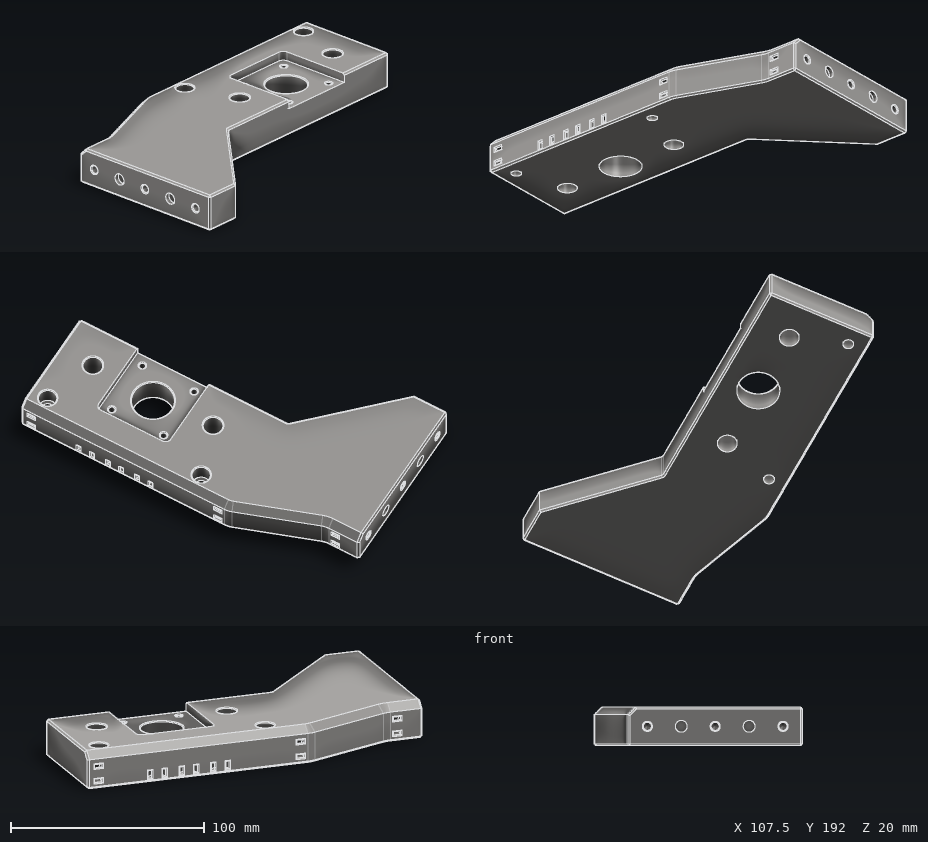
import cadquery as cq
import math

LENGTH = 192.0
WIDTH = 107.5
THICKNESS = 20.0

ARM_WIDTH = 60.0
FOOT_WIDTH = 90.0
FOOT_LEFT = WIDTH - FOOT_WIDTH
FOOT_HEIGHT = 20.0
LEFT_SLOPE_ANGLE = 20.0
LEFT_BEND_Y = FOOT_HEIGHT + FOOT_LEFT / math.tan(math.radians(LEFT_SLOPE_ANGLE))
RIGHT_BEND_Y = FOOT_HEIGHT + (WIDTH - ARM_WIDTH)
LEFT_BEND_RADIUS = 12.0
RIGHT_BEND_RADIUS = 2.0

LEFT_CHAMFER = 4.0
EDGE_CHAMFER = 1.0
HOLE_CHAMFER = 0.5

MOTOR_X = 39.0
MOTOR_Y = LENGTH - 56.0
SEAT_SIDE = 43.0
SEAT_DEPTH = 5.0
SEAT_CORNER_RADIUS = 3.0
PILOT_DIAMETER = 22.2
MOTOR_SCREW_PITCH = 31.0
MOTOR_SCREW_DIAMETER = 3.4
MOTOR_SCREW_DEPTH = 8.0

GUIDE_DIAMETER = 10.2
GUIDE_OFFSET = 36.0

MOUNT_X = 10.0
MOUNT_END_OFFSET = 10.0
MOUNT_PITCH = 92.0
MOUNT_DIAMETER = 5.5
MOUNT_BORE_DIAMETER = 9.5
MOUNT_BORE_DEPTH = 10.0

FRONT_HOLE_PITCH = 17.5
FRONT_ROW_X = FOOT_LEFT + FOOT_WIDTH / 2
FRONT_ROW_Z = THICKNESS / 2
TAPPED_DIAMETER = 4.2
TAPPED_DEPTH = 15.0
DOWEL_DIAMETER = 6.1
DOWEL_DEPTH = 2.5

TIE_LOOP_DIAMETER = 8.0
TIE_WIDTH = 4.0
TIE_THICKNESS = 1.8
TIE_SLOT_CHAMFER = 0.6
TIE_END_MARGIN = 6.0
UPRIGHT_TIE_Z = (THICKNESS - LEFT_CHAMFER) / 2
FLAT_TIE_Z = 4.0
FLAT_TIE_PITCH = 17.5

DRILL_POINT_ANGLE = 118.0

DOWN = cq.Vector(0, 0, -1)
INWARD = cq.Vector(0, 1, 0)


def make_plate():
    """Plate outline with rounded bends and all outer edges chamfered."""
    outline = [
        (FOOT_LEFT, 0),
        (WIDTH, 0),
        (WIDTH, FOOT_HEIGHT),
        (ARM_WIDTH, RIGHT_BEND_Y),
        (ARM_WIDTH, LENGTH),
        (0, LENGTH),
        (0, LEFT_BEND_Y),
        (FOOT_LEFT, FOOT_HEIGHT),
    ]
    plate = cq.Workplane("XY").polyline(outline).close().extrude(THICKNESS)

    rounded_bends = [
        (0, LEFT_BEND_Y, LEFT_BEND_RADIUS),
        (FOOT_LEFT, FOOT_HEIGHT, LEFT_BEND_RADIUS),
        (ARM_WIDTH, RIGHT_BEND_Y, RIGHT_BEND_RADIUS),
    ]
    for x, y, radius in rounded_bends:
        bend = cq.selectors.NearestToPointSelector((x, y, THICKNESS / 2))
        plate = plate.edges("|Z").edges(bend).fillet(radius)

    left_edge = cq.selectors.NearestToPointSelector((0, LENGTH - ARM_WIDTH, THICKNESS))
    plate = plate.edges(left_edge).chamfer(LEFT_CHAMFER)

    edges = plate.faces("<Y or >Y or <Z").edges()
    right_edge = cq.selectors.NearestToPointSelector((ARM_WIDTH, LENGTH - ARM_WIDTH, THICKNESS))
    foot_edge = cq.selectors.NearestToPointSelector((WIDTH, FOOT_HEIGHT / 2, THICKNESS))
    edges = edges.add(plate.edges(right_edge)).add(plate.edges(foot_edge))
    return edges.chamfer(EDGE_CHAMFER)


def drill(start, direction, diameter, depth):
    """Blind hole with a conical drill point; depth is to the shoulder."""
    radius = diameter / 2
    tip = radius / math.tan(math.radians(DRILL_POINT_ANGLE / 2))
    bore = cq.Solid.makeCylinder(radius, depth, start, direction)
    point = cq.Solid.makeCone(radius, 0, tip, start + direction * depth, direction)
    return bore.fuse(point)


def countersink(start, direction, diameter, size):
    """45 degree edge break at a hole mouth."""
    radius = diameter / 2
    return cq.Solid.makeCone(radius + size, radius, size, start, direction)


def cut_motor_seat(body):
    """Pocket open to the right side, with a through pilot bore and four screw holes."""
    seat_left = MOTOR_X - SEAT_SIDE / 2
    seat_floor = THICKNESS - SEAT_DEPTH
    seat_length = ARM_WIDTH - seat_left + SEAT_CORNER_RADIUS
    seat = (
        cq.Workplane("XY", origin=(seat_left + seat_length / 2, MOTOR_Y, seat_floor))
        .rect(seat_length, SEAT_SIDE)
        .extrude(SEAT_DEPTH)
        .edges("|Z and <X")
        .fillet(SEAT_CORNER_RADIUS)
    )
    body = body.cut(seat)

    centre = cq.Vector(MOTOR_X, MOTOR_Y, seat_floor)
    body = body.cut(cq.Solid.makeCylinder(PILOT_DIAMETER / 2, seat_floor, centre, DOWN))
    body = body.cut(countersink(centre, DOWN, PILOT_DIAMETER, HOLE_CHAMFER))

    half_pitch = MOTOR_SCREW_PITCH / 2
    for x_side in (-1, 1):
        for y_side in (-1, 1):
            start = centre + cq.Vector(x_side * half_pitch, y_side * half_pitch, 0)
            body = body.cut(
                cq.Solid.makeCylinder(MOTOR_SCREW_DIAMETER / 2, MOTOR_SCREW_DEPTH, start, DOWN)
            )
            body = body.cut(countersink(start, DOWN, MOTOR_SCREW_DIAMETER, HOLE_CHAMFER))
    return body


def cut_guide_holes(body):
    """Two through holes, one on each side of the motor seat."""
    for side in (-1, 1):
        start = cq.Vector(MOTOR_X, MOTOR_Y + side * GUIDE_OFFSET, THICKNESS)
        body = body.cut(cq.Solid.makeCylinder(GUIDE_DIAMETER / 2, THICKNESS, start, DOWN))
        body = body.cut(countersink(start, DOWN, GUIDE_DIAMETER, HOLE_CHAMFER))
    return body


def cut_mounting_holes(body):
    """Two counterbored through holes along the left side."""
    first_y = LENGTH - MOUNT_END_OFFSET
    for y in (first_y, first_y - MOUNT_PITCH):
        start = cq.Vector(MOUNT_X, y, THICKNESS)
        body = body.cut(cq.Solid.makeCylinder(MOUNT_DIAMETER / 2, THICKNESS, start, DOWN))
        body = body.cut(cq.Solid.makeCylinder(MOUNT_BORE_DIAMETER / 2, MOUNT_BORE_DEPTH, start, DOWN))
        body = body.cut(countersink(start, DOWN, MOUNT_BORE_DIAMETER, HOLE_CHAMFER))
    return body


def cut_front_holes(body):
    """Three tapped holes with two flat-bottomed dowel holes between them."""
    for position in (-2, 0, 2):
        start = cq.Vector(FRONT_ROW_X + position * FRONT_HOLE_PITCH, 0, FRONT_ROW_Z)
        body = body.cut(drill(start, INWARD, TAPPED_DIAMETER, TAPPED_DEPTH))
        body = body.cut(countersink(start, INWARD, TAPPED_DIAMETER, HOLE_CHAMFER))
    for position in (-1, 1):
        start = cq.Vector(FRONT_ROW_X + position * FRONT_HOLE_PITCH, 0, FRONT_ROW_Z)
        body = body.cut(cq.Solid.makeCylinder(DOWEL_DIAMETER / 2, DOWEL_DEPTH, start, INWARD))
    return body


def make_tie_loop():
    """Upright loop on the face X = 0, centred on the origin."""
    mean_radius = TIE_LOOP_DIAMETER / 2
    loop = (
        cq.Workplane("XZ", origin=(0, TIE_WIDTH / 2, 0))
        .circle(mean_radius + TIE_THICKNESS / 2)
        .circle(mean_radius - TIE_THICKNESS / 2)
        .extrude(TIE_WIDTH)
    )
    for side in (-1, 1):
        mouth = (
            cq.Workplane("YZ", origin=(0, 0, side * mean_radius))
            .rect(TIE_WIDTH + 2 * TIE_SLOT_CHAMFER, TIE_THICKNESS + 2 * TIE_SLOT_CHAMFER)
            .extrude(TIE_SLOT_CHAMFER, taper=45)
        )
        loop = loop.union(mouth)
    return loop


def cut_tie_loops(body):
    """Three upright loops along the left side and three flat ones beside the motor."""
    upright_loop = make_tie_loop()
    upright_places = [
        (0, LENGTH - TIE_END_MARGIN),
        (0, LEFT_BEND_Y + TIE_END_MARGIN),
        (FOOT_LEFT, FOOT_HEIGHT - TIE_END_MARGIN),
    ]
    for x, y in upright_places:
        body = body.cut(upright_loop.translate((x, y, UPRIGHT_TIE_Z)))

    flat_loop = upright_loop.rotate((0, 0, 0), (1, 0, 0), 90)
    for position in (-1, 0, 1):
        y = MOTOR_Y + position * FLAT_TIE_PITCH
        body = body.cut(flat_loop.translate((0, y, FLAT_TIE_Z)))
    return body


result = make_plate()
result = cut_motor_seat(result)
result = cut_guide_holes(result)
result = cut_mounting_holes(result)
result = cut_front_holes(result)
result = cut_tie_loops(result)